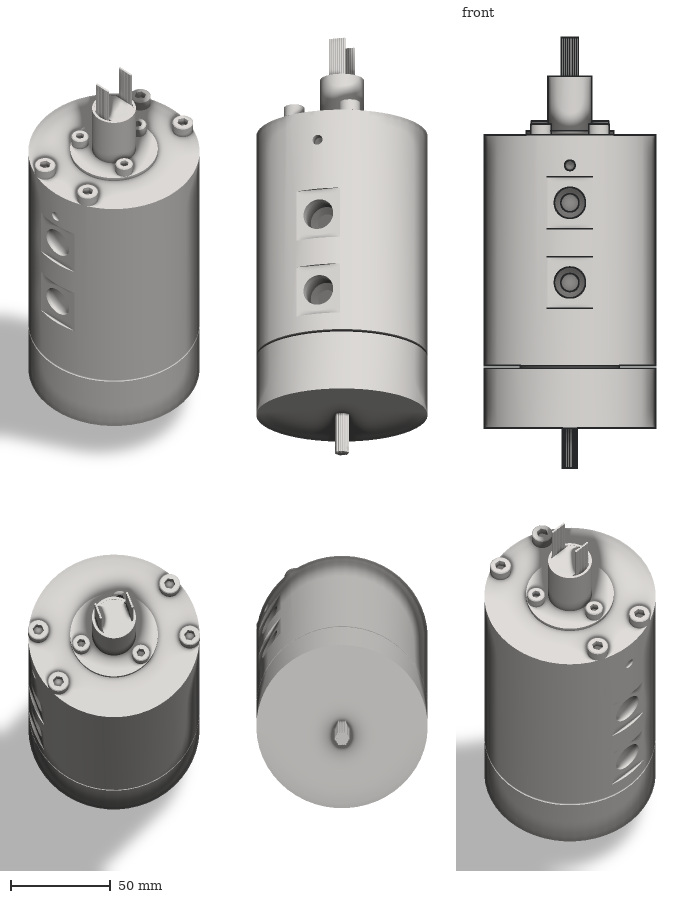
import cadquery as cq
import math

LOWER_CABLE_LENGTH = 20.0
BASE_HEIGHT = 30.0
GAP_HEIGHT = 1.3
BODY_HEIGHT = 115.9
FLANGE_HEIGHT = 2.0
STUB_HEIGHT = 27.5
TOTAL_HEIGHT = 216.2

BASE_BOTTOM = LOWER_CABLE_LENGTH
BASE_TOP = BASE_BOTTOM + BASE_HEIGHT
BODY_BOTTOM = BASE_TOP + GAP_HEIGHT
BODY_TOP = BODY_BOTTOM + BODY_HEIGHT
FLANGE_TOP = BODY_TOP + FLANGE_HEIGHT
STUB_TOP = FLANGE_TOP + STUB_HEIGHT

BODY_RADIUS = 43.0
GAP_RADIUS = 24.9
FLANGE_RADIUS = 22.0
STUB_RADIUS = 11.0

MOUTH_RADIUS = 9.7
MOUTH_DEPTH = 0.2
SLOT_OFFSET = 7.5
SLOT_DEPTH = 2.2

DRILL_POINT_ANGLE = 118

FLAT_HEIGHT = 26.0
FLAT_DEPTH = 1.5
FLAT_PLANE = BODY_RADIUS - FLAT_DEPTH
PORT_PITCH = 40.0
FRONT_PORT_TOP_LEVEL = 133.2
BACK_PORT_TOP_LEVEL = FRONT_PORT_TOP_LEVEL - PORT_PITCH / 2
PORT_RADIUS = 7.8
PORT_BORE_DEPTH = 13.0
PORT_FLOOR_RADIUS = 4.5

DRILL_RADIUS = 2.5
DRILL_DEPTH = 4.3
DRILL_LEVEL = 152.0

OUTER_SCREW_CIRCLE = 38.0
OUTER_SCREW_ANGLES = (67.5, 112.5, 247.5, 292.5)
INNER_SCREW_CIRCLE = 17.5
INNER_SCREW_ANGLES = (90, 210, 330)
HEAD_CHAMFER = 0.5
OUTER_HEAD_DIAMETER = 10.4
OUTER_HEAD_HEIGHT = 5.6
OUTER_SOCKET_WIDTH = 5.0
INNER_HEAD_DIAMETER = 8.6
INNER_HEAD_HEIGHT = 5.2
INNER_SOCKET_WIDTH = 3.9
SOCKET_SIDES = 6
SOCKET_DEPTH = 3.9

WIRE_DIAMETER = 1.15
WIRE_PITCH = 1.05
ROW_WIRES = 8
ROW_OFFSET = 8.5
BUNDLE_RINGS = 3


def cylinder(radius, bottom, top):
    return cq.Workplane("XY").workplane(offset=bottom).circle(radius).extrude(top - bottom)


def turned_stack():
    base = cylinder(BODY_RADIUS, BASE_BOTTOM, BASE_TOP)
    neck = cylinder(GAP_RADIUS, BASE_TOP, BODY_BOTTOM)
    body = cylinder(BODY_RADIUS, BODY_BOTTOM, BODY_TOP)
    flange = cylinder(FLANGE_RADIUS, BODY_TOP, FLANGE_TOP)
    stub = cylinder(STUB_RADIUS, FLANGE_TOP, STUB_TOP)
    return base.union(neck).union(body).union(flange).union(stub)


def stub_mouth():
    recess = cylinder(MOUTH_RADIUS, STUB_TOP - MOUTH_DEPTH, STUB_TOP)
    plug = cq.Workplane("XY").box(2 * STUB_RADIUS, 2 * SLOT_OFFSET, 2 * TOTAL_HEIGHT)
    slots = cylinder(MOUTH_RADIUS, STUB_TOP - SLOT_DEPTH, STUB_TOP).cut(plug)
    return recess.union(slots)


def side_hole(side, start, level, radius, depth, floor_radius):
    """Hole running towards the axis from the front (side -1) or back (side 1), with a tapered bottom."""
    direction = cq.Vector(0, -side, 0)
    mouth_centre = cq.Vector(0, side * start, level)
    taper_centre = mouth_centre + direction * depth
    taper_depth = (radius - floor_radius) / math.tan(math.radians(DRILL_POINT_ANGLE / 2))
    bore = cq.Solid.makeCylinder(radius, depth, mouth_centre, direction)
    taper = cq.Solid.makeCone(radius, floor_radius, taper_depth, taper_centre, direction)
    return cq.Workplane(bore).union(cq.Workplane(taper))


def port(side, level):
    flat = cq.Workplane("XY").box(2 * BODY_RADIUS, 2 * FLAT_DEPTH, FLAT_HEIGHT)
    flat = flat.translate((0, side * (FLAT_PLANE + FLAT_DEPTH), level))
    hole = side_hole(side, FLAT_PLANE, level, PORT_RADIUS, PORT_BORE_DEPTH, PORT_FLOOR_RADIUS)
    return flat.union(hole)


def side_cuts(side, top_port_level):
    drilled_hole = side_hole(side, BODY_RADIUS, DRILL_LEVEL, DRILL_RADIUS, DRILL_DEPTH, 0)
    upper_port = port(side, top_port_level)
    lower_port = port(side, top_port_level - PORT_PITCH)
    return upper_port.union(lower_port).union(drilled_hole)


def screw_head(diameter, height, socket_width):
    head = cq.Workplane("XY").circle(diameter / 2).extrude(height)
    head = head.faces(">Z").chamfer(HEAD_CHAMFER)
    socket_across_corners = socket_width / math.cos(math.pi / SOCKET_SIDES)
    return head.faces(">Z").workplane().polygon(SOCKET_SIDES, socket_across_corners).cutBlind(-SOCKET_DEPTH)


def on_circle(shape, radius, angles, level):
    copies = cq.Workplane("XY")
    for angle in angles:
        x = radius * math.cos(math.radians(angle))
        y = radius * math.sin(math.radians(angle))
        copies = copies.union(shape.translate((x, y, level)))
    return copies


def wire(x, y, bottom, top):
    return cylinder(WIRE_DIAMETER / 2, bottom, top).translate((x, y, 0))


def wire_row(side):
    """Slightly overlapping wires side by side, standing in one of the stub's slots."""
    half_span = WIRE_PITCH * (ROW_WIRES - 1) / 2
    row = cq.Workplane("XY")
    for number in range(ROW_WIRES):
        x = number * WIRE_PITCH - half_span
        row = row.union(wire(x, side * ROW_OFFSET, STUB_TOP - SLOT_DEPTH, TOTAL_HEIGHT))
    return row


def wire_bundle():
    """Hexagonal packing of wires around a central one."""
    bundle = cq.Workplane("XY")
    indices = range(-BUNDLE_RINGS, BUNDLE_RINGS + 1)
    for column in indices:
        for row in indices:
            if abs(column + row) <= BUNDLE_RINGS:
                x = WIRE_PITCH * (column + row / 2)
                y = WIRE_PITCH * row * math.sqrt(3) / 2
                bundle = bundle.union(wire(x, y, 0, BASE_BOTTOM))
    return bundle


housing = turned_stack().cut(stub_mouth())
housing = housing.cut(side_cuts(-1, FRONT_PORT_TOP_LEVEL))
housing = housing.cut(side_cuts(1, BACK_PORT_TOP_LEVEL))

outer_head = screw_head(OUTER_HEAD_DIAMETER, OUTER_HEAD_HEIGHT, OUTER_SOCKET_WIDTH)
inner_head = screw_head(INNER_HEAD_DIAMETER, INNER_HEAD_HEIGHT, INNER_SOCKET_WIDTH)
outer_screws = on_circle(outer_head, OUTER_SCREW_CIRCLE, OUTER_SCREW_ANGLES, BODY_TOP)
inner_screws = on_circle(inner_head, INNER_SCREW_CIRCLE, INNER_SCREW_ANGLES, FLANGE_TOP)

result = housing.union(outer_screws).union(inner_screws)
result = result.union(wire_row(-1)).union(wire_row(1)).union(wire_bundle())